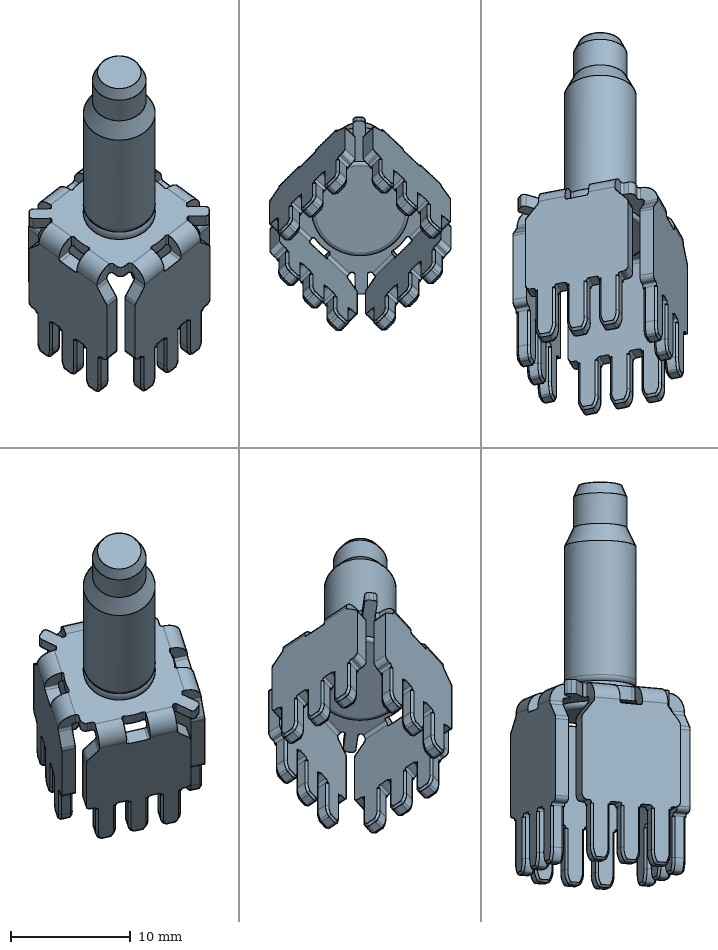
import cadquery as cq

HEIGHT = 33.05
WIDTH = 12.4

SHEET = 1.2
PLATE_TOP = 15.25
BEND_OUTER = 1.5
BEND_INNER = BEND_OUTER - SHEET
HALF = WIDTH / 2
BEND_LINE = HALF - BEND_OUTER
BEND_BOTTOM = PLATE_TOP - BEND_OUTER
PLATE_BOTTOM = PLATE_TOP - SHEET
PLATE_MIDDLE = PLATE_TOP - SHEET / 2

PLATE_HALF = 4.45
PLATE_CORNER_RADIUS = 0.5
STEP_RADIUS = 0.23
NOTCH_EDGE_MIDDLE = 4.65
NOTCH_EDGE_END = 4.53
NOTCH_EDGE_RADIUS = 0.15
LUG_WIDTH = 1.05
LUG_REACH = 7.55
LUG_CORNER_RADIUS = 0.33

NECK_HALF = 3.37
NOTCH_HALF = 1.02
NOTCH_BOTTOM = 13.45
NOTCH_RADIUS = 0.2
PANEL_HALF = 4.53
SHOULDER_TOP = 13.55
SHOULDER_BOTTOM = 12.15
SHOULDER_RADIUS = 0.5
PANEL_BOTTOM = 5.0
PANEL_CORNER_RADIUS = 0.45

PIN_PITCH = 2.8
PIN_HALF = 0.85
PIN_ROOT_RADIUS = 0.23
PIN_ROOT_HEIGHT = 0.25
PIN_TAPER_START = 1.22
PIN_TIP_HALF = 0.5
PIN_TAPER_BULGE = 0.1
PIN_TIP_RADIUS = 0.25
PIN_BEVEL = 0.2
PIN_ROOT = PANEL_BOTTOM - PIN_ROOT_HEIGHT
PIN_CENTRES = (-PIN_PITCH, 0, PIN_PITCH)

FLANGE_RADIUS = 4.1
FLANGE_BOTTOM = 13.45

SHAFT_RADIUS = 3.0
SHAFT_EDGE_RADIUS = 0.45
SHAFT_BOTTOM = 15.95
COLLAR_TOP_RADIUS = 2.8
COLLAR_BOTTOM_RADIUS = 3.0
COLLAR_BULGE = 0.083
CONE_BOTTOM = 27.85
NECK_BOTTOM = 29.45
NECK_RADIUS = 2.25
TIP_RADIUS = 1.82
TIP_CHAMFER_BOTTOM = 32.05


def make_block(x_min, x_max, y_min, y_max, z_min, z_max):
    size = (x_max - x_min, y_max - y_min, z_max - z_min)
    return cq.Workplane("XY").box(*size, centered=False).translate((x_min, y_min, z_min))


def round_edges(body, middles, radius):
    """Fillet the edges whose midpoints are nearest to the given points."""
    edges = [body.edges(cq.selectors.NearestToPointSelector(middle)).val() for middle in middles]
    return body.newObject(edges).fillet(radius)


def four_around(shape):
    """Union of a shape with its three quarter-turn copies about the Z axis."""
    ring = shape
    for turn in (90, 180, 270):
        ring = ring.union(shape.rotate((0, 0, 0), (0, 0, 1), turn))
    return ring


def front_plane(y):
    """XZ plane at the given Y; local y is Z and extrusion runs towards -Y."""
    return cq.Workplane("XZ", origin=(0, y, 0))


def make_plate_notch():
    """Cutter for the gap between the two bends on the -Y side of the plate."""
    cutter = (
        cq.Workplane("XY", origin=(0, 0, PLATE_BOTTOM))
        .moveTo(-NOTCH_HALF, -HALF)
        .lineTo(-NOTCH_HALF, -NOTCH_EDGE_END)
        .threePointArc((0, -NOTCH_EDGE_MIDDLE), (NOTCH_HALF, -NOTCH_EDGE_END))
        .lineTo(NOTCH_HALF, -HALF)
        .close()
        .extrude(SHEET)
    )
    corners = [(side * NOTCH_HALF, -NOTCH_EDGE_END, PLATE_MIDDLE) for side in (-1, 1)]
    return round_edges(cutter, corners, NOTCH_EDGE_RADIUS)


def make_plate():
    """Square plate stepping out to the bends, with a lug on two opposite corners."""
    plate = make_block(-PLATE_HALF, PLATE_HALF, -PLATE_HALF, PLATE_HALF, PLATE_BOTTOM, PLATE_TOP)
    plate = plate.edges("|Z").fillet(PLATE_CORNER_RADIUS)
    edge_strip = make_block(-NECK_HALF, NECK_HALF, -BEND_LINE, 0, PLATE_BOTTOM, PLATE_TOP)
    plate = plate.union(four_around(edge_strip))
    steps = [(side_x * NECK_HALF, side_y * PLATE_HALF) for side_x in (-1, 1) for side_y in (-1, 1)]
    steps += [(y, x) for x, y in steps]
    plate = round_edges(plate, [(x, y, PLATE_MIDDLE) for x, y in steps], STEP_RADIUS)
    lugs = (
        cq.Workplane("XY", origin=(0, 0, PLATE_BOTTOM))
        .rect(2 * LUG_REACH, LUG_WIDTH)
        .extrude(SHEET)
        .edges("|Z")
        .fillet(LUG_CORNER_RADIUS)
        .rotate((0, 0, 0), (0, 0, 1), 45)
    )
    return plate.cut(four_around(make_plate_notch())).union(lugs)


def make_bends():
    """Two quarter-round bends joining the plate to the panel on the -Y side."""
    bend_section = (
        cq.Workplane("YZ", origin=(-NECK_HALF, 0, 0))
        .moveTo(-BEND_LINE, PLATE_TOP)
        .radiusArc((-HALF, BEND_BOTTOM), -BEND_OUTER)
        .lineTo(-HALF + SHEET, BEND_BOTTOM)
        .radiusArc((-BEND_LINE, PLATE_BOTTOM), BEND_INNER)
        .close()
        .extrude(2 * NECK_HALF)
    )
    gap = make_block(-NOTCH_HALF, NOTCH_HALF, -HALF, -BEND_LINE, BEND_BOTTOM, PLATE_TOP)
    return bend_section.cut(gap)


def make_panel():
    """Flat panel of the -Y side, with the notch between its bends."""
    right_side = [
        (NOTCH_HALF, NOTCH_BOTTOM),
        (NOTCH_HALF, BEND_BOTTOM),
        (NECK_HALF, BEND_BOTTOM),
        (NECK_HALF, SHOULDER_TOP),
        (PANEL_HALF, SHOULDER_BOTTOM),
        (PANEL_HALF, PANEL_BOTTOM),
    ]
    left_side = [(-x, z) for x, z in reversed(right_side)]
    pin_roots = []
    for centre in PIN_CENTRES:
        left, right = centre - PIN_HALF, centre + PIN_HALF
        pin_roots += [(left, PANEL_BOTTOM), (left, PIN_ROOT), (right, PIN_ROOT), (right, PANEL_BOTTOM)]
    outline = left_side + right_side + pin_roots[::-1]
    panel = front_plane(-HALF + SHEET).polyline(outline).close().extrude(SHEET)

    def round_corners(body, corners, radius):
        middles = [(side * x, -HALF + SHEET / 2, z) for side in (-1, 1) for x, z in corners]
        return round_edges(body, middles, radius)

    root_edges = (PIN_HALF, PIN_PITCH - PIN_HALF, PIN_PITCH + PIN_HALF)
    root_corners = [(x, PANEL_BOTTOM) for x in root_edges]
    panel = round_corners(panel, [(NOTCH_HALF, NOTCH_BOTTOM)], NOTCH_RADIUS)
    panel = round_corners(panel, [(NECK_HALF, SHOULDER_TOP), (PANEL_HALF, SHOULDER_BOTTOM)], SHOULDER_RADIUS)
    panel = round_corners(panel, [(PANEL_HALF, PANEL_BOTTOM)], PANEL_CORNER_RADIUS)
    return round_corners(panel, root_corners, PIN_ROOT_RADIUS)


def make_pins():
    """Three pins of the -Y side, bevelled on their outer and inner faces."""
    bulge_x = (PIN_HALF + PIN_TIP_HALF) / 2 + PIN_TAPER_BULGE
    bulge_z = PIN_TAPER_START / 2 - PIN_TAPER_BULGE
    pin = (
        front_plane(-HALF + SHEET)
        .moveTo(-PIN_HALF, PIN_ROOT)
        .lineTo(PIN_HALF, PIN_ROOT)
        .lineTo(PIN_HALF, PIN_TAPER_START)
        .threePointArc((bulge_x, bulge_z), (PIN_TIP_HALF, 0))
        .lineTo(-PIN_TIP_HALF, 0)
        .threePointArc((-bulge_x, bulge_z), (-PIN_HALF, PIN_TAPER_START))
        .close()
        .extrude(SHEET)
    )
    tip_corners = [(side * PIN_TIP_HALF, -HALF + SHEET / 2, 0) for side in (-1, 1)]
    pin = round_edges(pin, tip_corners, PIN_TIP_RADIUS)
    pin = pin.faces("<Y or >Y").edges("not(>Z)").chamfer(PIN_BEVEL)
    pins = cq.Workplane("XY")
    for centre in PIN_CENTRES:
        pins = pins.union(pin.translate((centre, 0, 0)))
    return pins


def make_flange():
    """Disc against the underside of the plate."""
    rim_radius = (PLATE_BOTTOM - FLANGE_BOTTOM) / 2
    flat_radius = FLANGE_RADIUS - rim_radius
    return (
        cq.Workplane("XZ")
        .moveTo(0, FLANGE_BOTTOM)
        .lineTo(flat_radius, FLANGE_BOTTOM)
        .threePointArc((FLANGE_RADIUS, FLANGE_BOTTOM + rim_radius), (flat_radius, PLATE_BOTTOM))
        .lineTo(0, PLATE_BOTTOM)
        .close()
        .revolve(360, (0, 0, 0), (0, 1, 0))
    )


def make_shaft():
    """Stepped shaft rising from a rounded collar on the plate."""
    bulge_radius = (COLLAR_TOP_RADIUS + COLLAR_BOTTOM_RADIUS) / 2 + COLLAR_BULGE
    bulge_height = (PLATE_TOP + SHAFT_BOTTOM) / 2
    return (
        cq.Workplane("XZ")
        .moveTo(0, PLATE_TOP)
        .lineTo(COLLAR_BOTTOM_RADIUS, PLATE_TOP)
        .threePointArc((bulge_radius, bulge_height), (COLLAR_TOP_RADIUS, SHAFT_BOTTOM))
        .radiusArc((SHAFT_RADIUS, SHAFT_BOTTOM + SHAFT_EDGE_RADIUS), -SHAFT_EDGE_RADIUS)
        .lineTo(SHAFT_RADIUS, CONE_BOTTOM)
        .lineTo(NECK_RADIUS, NECK_BOTTOM)
        .lineTo(NECK_RADIUS, TIP_CHAMFER_BOTTOM)
        .lineTo(TIP_RADIUS, HEIGHT)
        .lineTo(0, HEIGHT)
        .close()
        .revolve(360, (0, 0, 0), (0, 1, 0))
    )


side = make_bends().union(make_panel()).union(make_pins())
result = make_plate().union(four_around(side)).union(make_flange()).union(make_shaft())